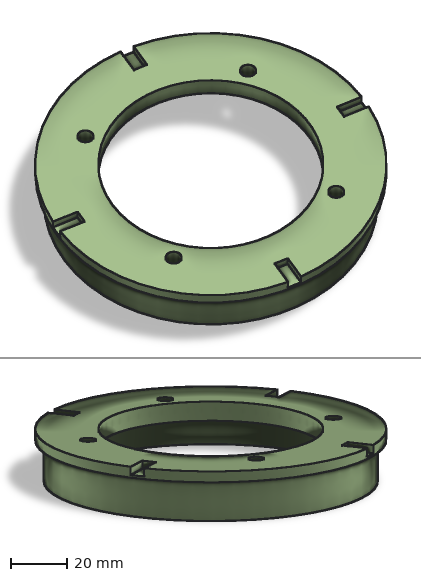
import cadquery as cq

flange_diameter = 125.0
body_diameter = 119.0
total_height = 19.0
flange_thickness = 4.0

bore_diameter = 80.0
recess_diameter = 107.0
web_thickness = 7.0
recess_depth = total_height - web_thickness

hole_diameter = 5.6
hole_circle_diameter = 93.0
hole_count = 4

notch_width = 5.2
notch_length = 10.0
notch_depth = 3.0
notch_count = 4
first_notch_angle = 45.0


def make_ring():
    body = cq.Workplane("XY").circle(body_diameter / 2).extrude(total_height)
    flange = (
        cq.Workplane("XY")
        .workplane(offset=total_height - flange_thickness)
        .circle(flange_diameter / 2)
        .extrude(flange_thickness)
    )
    bore = cq.Workplane("XY").circle(bore_diameter / 2).extrude(total_height)
    recess = cq.Workplane("XY").circle(recess_diameter / 2).extrude(recess_depth)
    return body.union(flange).cut(bore).cut(recess)


def make_holes():
    return (
        cq.Workplane("XY")
        .polarArray(hole_circle_diameter / 2, 0, 360, hole_count)
        .circle(hole_diameter / 2)
        .extrude(total_height)
    )


def make_notch(angle):
    inner_radius = flange_diameter / 2 - notch_length
    return (
        cq.Workplane("XY")
        .box(2 * notch_length, notch_width, notch_depth, centered=(False, True, False))
        .translate((inner_radius, 0, total_height - notch_depth))
        .rotate((0, 0, 0), (0, 0, 1), angle)
    )


result = make_ring().cut(make_holes())
for index in range(notch_count):
    result = result.cut(make_notch(first_notch_angle + index * 360 / notch_count))